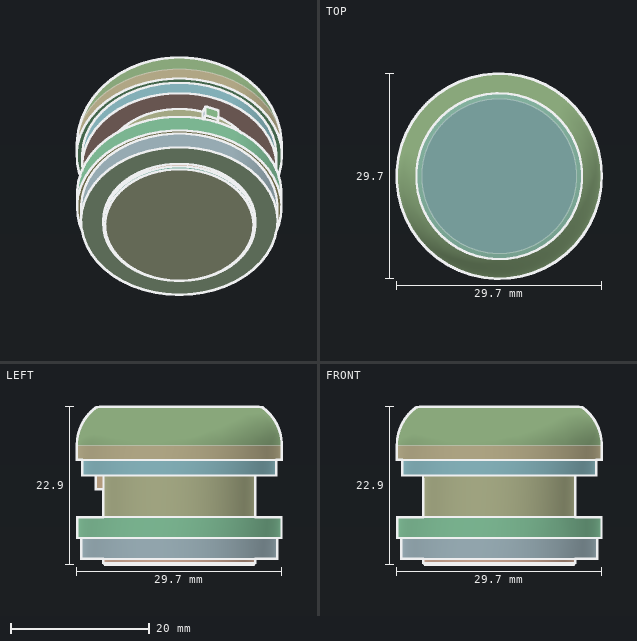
import cadquery as cq
import math

cap_radius = 14.85
cap_top_radius = 12.0
face_radius = 11.2
collar_radius = 14.05
stem_radius = 11.02
flange_radius = 14.8
nut_radius = 14.2

nut_bottom = 0.85
flange_bottom = 3.85
flange_top = 6.9
collar_bottom = 12.9
cap_bottom = 15.18
dome_bottom = 17.25
dome_top = 22.8
total_height = 22.9

stem_chamfer = 0.3

key_reach = 12.1
key_height = 2.0
key_width = 2.0


def disc(radius, bottom, top):
    return cq.Workplane("XY").workplane(offset=bottom).circle(radius).extrude(top - bottom)


def domed_cap():
    """Revolve the cap: a short straight rim, then an arc tangent to it."""
    rise = dome_top - dome_bottom
    inset = cap_radius - cap_top_radius
    arc_radius = (rise**2 + inset**2) / (2 * inset)
    half_angle = math.asin(rise / arc_radius) / 2
    arc_middle = (
        cap_radius - arc_radius * (1 - math.cos(half_angle)),
        dome_bottom + arc_radius * math.sin(half_angle),
    )
    return (
        cq.Workplane("XZ")
        .moveTo(0, cap_bottom)
        .lineTo(cap_radius, cap_bottom)
        .lineTo(cap_radius, dome_bottom)
        .threePointArc(arc_middle, (cap_top_radius, dome_top))
        .lineTo(face_radius, total_height)
        .lineTo(0, total_height)
        .close()
        .revolve(360, (0, 0, 0), (0, 1, 0))
    )


def locating_key():
    """Block running from the axis out through the stem wall."""
    return cq.Workplane("XY").box(
        key_width, key_reach, key_height, centered=(True, False, False)
    ).translate((0, 0, collar_bottom - key_height))


stem = disc(stem_radius, 0, collar_bottom).faces("<Z").chamfer(stem_chamfer)

result = (
    stem.union(disc(nut_radius, nut_bottom, flange_bottom))
    .union(disc(flange_radius, flange_bottom, flange_top))
    .union(disc(collar_radius, collar_bottom, cap_bottom))
    .union(domed_cap())
    .union(locating_key())
)